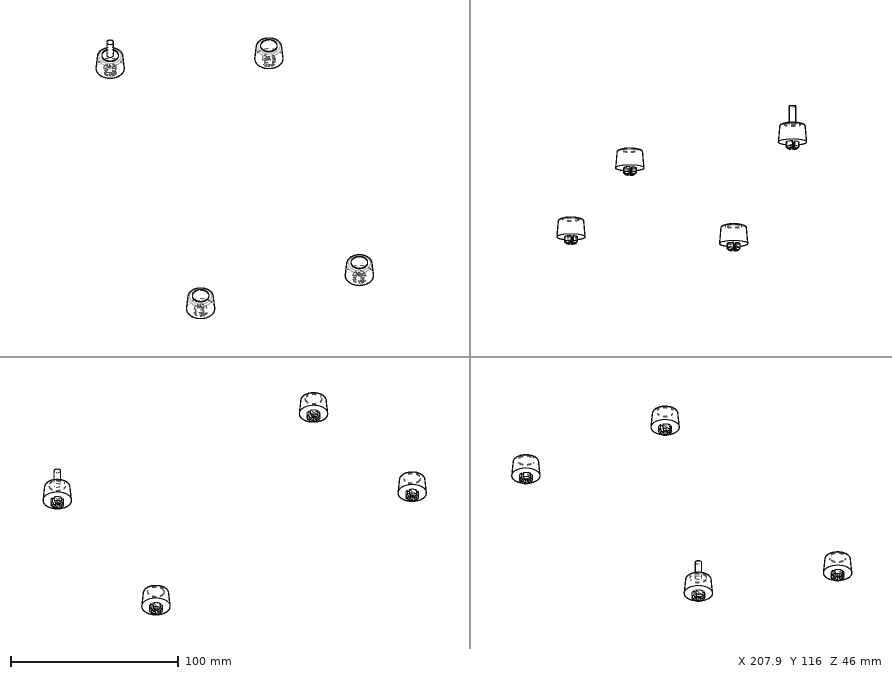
import cadquery as cq

SPACING_X = 190.9
SPACING_Y = 99.0
LIFT = 20.0

PAD_BOTTOM_DIAMETER = 17.0
PAD_TOP_DIAMETER = 15.2
PAD_HEIGHT = 10.6
RIM_RADIUS = 1.0

BOSS_DIAMETER = 10.0
BOSS_HEIGHT = 0.6
FOOT_TOP = PAD_HEIGHT + BOSS_HEIGHT

PLUG_DIAMETER = 7.7
PLUG_HEIGHT = 4.0
PLUG_CHAMFER = 1.0
SLOT_WIDTH = 1.5

STEM_DIAMETER = 4.0
STEM_HEIGHT = 10.8


def cylinder(diameter, height, base_z=0):
    """Upright cylinder on the foot axis; a negative height goes down from base_z."""
    return cq.Workplane("XY").workplane(offset=base_z).circle(diameter / 2).extrude(height)


def make_pad():
    drum = (
        cq.Workplane("XZ")
        .lineTo(PAD_BOTTOM_DIAMETER / 2, 0)
        .lineTo(PAD_TOP_DIAMETER / 2, PAD_HEIGHT)
        .lineTo(0, PAD_HEIGHT)
        .close()
        .revolve(360, (0, 0, 0), (0, 1, 0))
    )
    return drum.faces(">Z").edges().fillet(RIM_RADIUS)


def make_plug():
    plug = cylinder(PLUG_DIAMETER, -PLUG_HEIGHT).faces("<Z").edges().chamfer(PLUG_CHAMFER)
    slot_along_x = cq.Workplane("XY").rect(PLUG_DIAMETER, SLOT_WIDTH).extrude(-PLUG_HEIGHT)
    slot_along_y = cq.Workplane("XY").rect(SLOT_WIDTH, PLUG_DIAMETER).extrude(-PLUG_HEIGHT)
    return plug.cut(slot_along_x).cut(slot_along_y)


def make_plain_foot():
    """Pad, boss and plug as one solid, with the underside of the pad at Z = 0."""
    boss = cylinder(BOSS_DIAMETER, BOSS_HEIGHT, PAD_HEIGHT)
    return make_pad().union(boss).union(make_plug())


def make_stemmed_foot():
    """A plain foot with a stem rising from its boss."""
    stem = cylinder(STEM_DIAMETER, STEM_HEIGHT, FOOT_TOP)
    return make_plain_foot().union(stem)


stemmed_foot = make_stemmed_foot().translate((0, 0, LIFT))

plain_foot_places = [(SPACING_X, 0), (0, SPACING_Y), (SPACING_X, SPACING_Y)]
plain_feet = [make_plain_foot().translate((x, y, 0)) for x, y in plain_foot_places]

feet = [stemmed_foot, *plain_feet]
result = cq.Compound.makeCompound([foot.solids().val() for foot in feet])